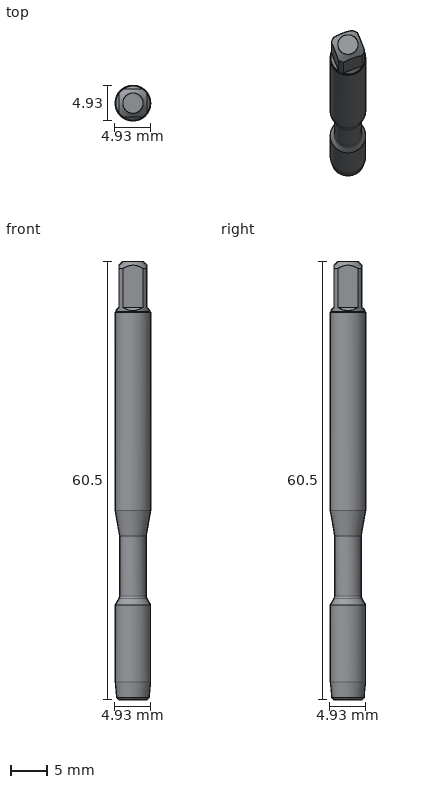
import cadquery as cq
import math

overall_length = 60.5
tip_z = -overall_length / 2
drive_end_z = overall_length / 2

head_diameter = 4.91
head_length = 13.1
lead_length = 2.5
lead_end_diameter = 4.5
tip_face_diameter = 3.85
tip_bevel_height = 0.35

shank_diameter = 4.93
neck_diameter = 3.69
shoulder_angle = 30
taper_angle = 10
taper_top_height = 26.15
neck_fillet_radius = 0.75

drive_diameter = 4.73
drive_length = 6.95
drive_chamfer_height = 0.1
end_face_diameter = 2.8
across_flats = 3.86
flat_length = 6.35

head_end_z = tip_z + head_length
taper_top_z = tip_z + taper_top_height
shank_end_z = drive_end_z - drive_length
flat_end_z = drive_end_z - flat_length


def turned(profile):
    """Revolve a closed (radius, z) profile around the Z axis."""
    return cq.Workplane("XZ").polyline(profile).close().revolve(360, (0, 0), (0, 1))


def cone_height(large_diameter, small_diameter, angle):
    """Height of a cone between two diameters whose side leans from the axis by the angle in degrees."""
    return (large_diameter - small_diameter) / 2 / math.tan(math.radians(angle))


def make_head():
    """Plain threading cylinder with a tapered lead and a bevel at the tip."""
    return turned([
        (0, tip_z),
        (tip_face_diameter / 2, tip_z),
        (lead_end_diameter / 2, tip_z + tip_bevel_height),
        (head_diameter / 2, tip_z + lead_length),
        (head_diameter / 2, head_end_z),
        (0, head_end_z),
    ])


def make_shank_blank():
    """Round shank: shoulder, filleted neck, taper, shank and the drive stub with a 45 degree end bevel."""
    neck_start_z = head_end_z + cone_height(head_diameter, neck_diameter, shoulder_angle)
    neck_end_z = taper_top_z - cone_height(shank_diameter, neck_diameter, taper_angle)
    end_bevel_z = drive_end_z - cone_height(drive_diameter, end_face_diameter, 45)
    blank = turned([
        (0, head_end_z),
        (head_diameter / 2, head_end_z),
        (neck_diameter / 2, neck_start_z),
        (neck_diameter / 2, neck_end_z),
        (shank_diameter / 2, taper_top_z),
        (shank_diameter / 2, shank_end_z - drive_chamfer_height),
        (drive_diameter / 2, shank_end_z),
        (drive_diameter / 2, end_bevel_z),
        (end_face_diameter / 2, drive_end_z),
        (0, drive_end_z),
    ])
    neck_corners = cq.selectors.BoxSelector(
        (-neck_diameter, -neck_diameter, neck_start_z - neck_fillet_radius / 2),
        (neck_diameter, neck_diameter, neck_end_z + neck_fillet_radius / 2),
    )
    return blank.edges("%CIRCLE").edges(neck_corners).fillet(neck_fillet_radius)


def drive_flat_cutter(angle):
    """Material outside one drive flat, ending in a 45 degree ramp at the shank side."""
    flat_distance = across_flats / 2
    reach = shank_diameter
    return (
        cq.Workplane("XZ")
        .polyline([
            (flat_distance, flat_end_z),
            (flat_distance, drive_end_z),
            (flat_distance + reach, drive_end_z),
            (flat_distance + reach, flat_end_z - reach),
        ])
        .close()
        .extrude(reach, both=True)
        .rotate((0, 0, 0), (0, 0, 1), angle)
    )


def make_shank():
    """Shank blank with the four flats of the square drive cut into its end."""
    shank = make_shank_blank()
    for angle in (0, 90, 180, 270):
        shank = shank.cut(drive_flat_cutter(angle))
    return shank


head = make_head()
shank = make_shank()
result = cq.Compound.makeCompound([head.val(), shank.val()])